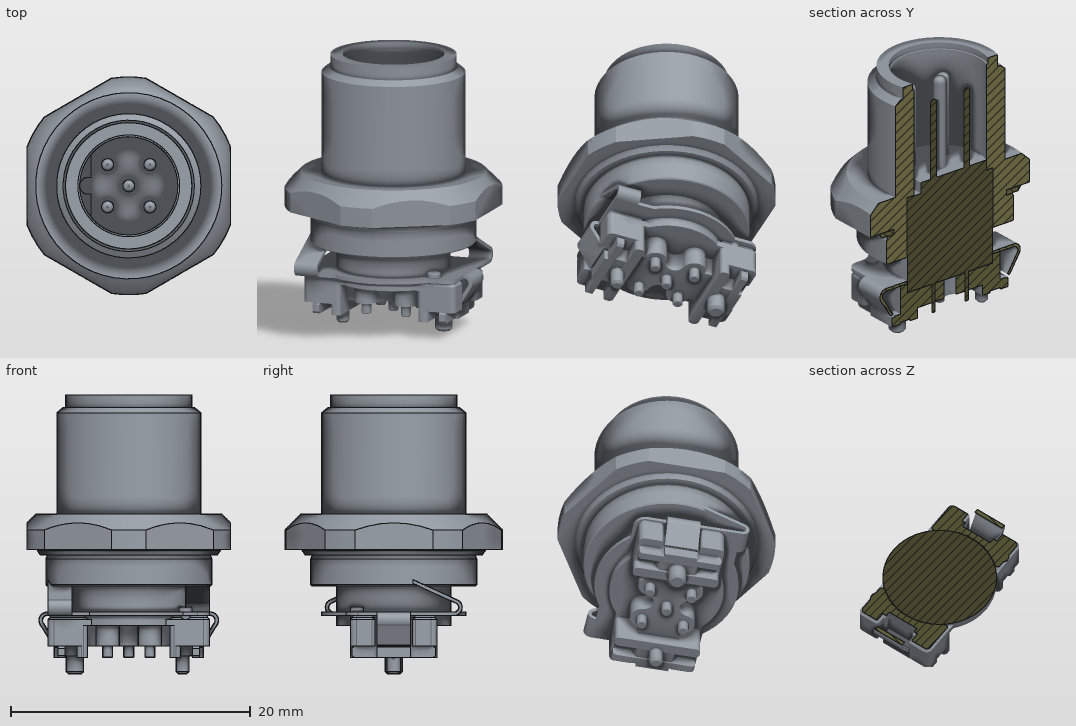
import cadquery as cq
import math


HOUSING_TOP = 12.93
COLLAR_R = 5.27
COLLAR_H = 1.07
SLEEVE_R = 6.02
SLEEVE_BEVEL_TOP_R = 5.48
SLEEVE_BEVEL_H = 0.44
BORE_R = 4.1
LIP_R = 4.25
LIP_DEPTH = 0.55
HEX_ACROSS_FLATS = 17.0
HEX_FLAT_ANGLE = 30
HEX_TURN = 0.1
HEX_CORNER_R = 9.1
HEX_TOP_R = 7.77
HEX_H = 2.96
HEX_BEVEL_H = 1.32
SHOULDER_R = 6.94
SHOULDER_TOP_R = 6.8
SHOULDER_BEVEL_H = 0.36
SHOULDER_BOTTOM = -3.03
SHOULDER_EDGE = 0.1
NECK_R = 6.2

SEAL_H = 0.43
SEAL_R = 7.65
SEAL_BOTTOM_R = 7.4
SEAL_RIM_H = 0.08

INSULATOR_R = 4.77
INSULATOR_BOTTOM = -6.34
FLOOR_Z = 3.5
SEAT_Z = 2.5
KEY_CHORD_X = -3.15
KEY_HALF_WIDTH = 0.7
PIN_OFFSET = 1.765
PIN_R = 0.5
PIN_DOME_R = 0.42
PIN_RECESS = 1.97
CENTER_PIN_RECESS = 1.1
PIN_TOP = HOUSING_TOP - PIN_RECESS
CENTER_PIN_TOP = HOUSING_TOP - CENTER_PIN_RECESS
TAIL_R = 0.42
TAIL_BOTTOM = -9.02
TAIL_CHAMFER = 0.07

PLATE_TOP = -5.2
PLATE_T = 0.3
PLATE_BOTTOM = PLATE_TOP - PLATE_T
PLATE_R = 6.02
WING_X = 6.75
WING_INNER_X = 4.1
WING_Y = 3.98
WING_CORNER_R = 1.0
ARM_WIDTH = 2.02
ARM_ROOT_Y = -5.04
ARM_BEND_R = 0.68
ARM_SLOPE = 24.5
ARM_LENGTH = 5.5
TAB_HALF_WIDTH = 1.4
TAB_BEND_R = 0.7
TAB_BEND_X = -6.8
TAB_SLOPE = 58.0
TAB_BOTTOM = -7.97

BLOCK_HALF_Y = 3.62
BLOCK_INNER_X = 3.44
BLOCK_BOTTOM = -8.05
BLOCK_CORNER_R = 0.5
BLOCK_INNER_CORNER_R = 0.34
PAD_H = 0.16
BLOCK_TOP = PLATE_BOTTOM - PAD_H
BLOCK_TOP_BEVEL = 0.17
NOTCH_HALF_WIDTH = 1.58
NOTCH_CORNER_R = 0.24
NOTCH_STEP_X = 5.92
NOTCH_FLOOR_X = 5.32
NOTCH_BOTTOM = -8.13
FOOT_BOTTOM = TAIL_BOTTOM
OUTER_RAIL_X = (NOTCH_FLOOR_X, NOTCH_STEP_X)
OUTER_RAIL_HALF_Y = 3.5
RAIL_BEVEL = 0.2
LUG_X = 6.22
INNER_RAIL_X = (BLOCK_INNER_X, 4.3)
PEG_SEAT_BOTTOM = -8.86
PEG_SEAT_HALF_Y = 2.0
PEG_SEAT_SLOPE = 58.0
PEG_X = 4.49
PEG_BOTTOM = -10.37
PEG_BEVEL = 0.2
LEFT_PEG_R = 0.73
RIGHT_PEG_R = 0.545
STUD_X = 4.74
STUD_Y = 3.08
STUD_R = 0.54
STUD_TOP = -4.79
STUD_EDGE_R = 0.1
LOBE_R = 0.96
VALLEY_R = 0.79
VALLEY_Y = 1.9


def cylinder(x, y, radius, bottom, top):
    return cq.Workplane("XY", origin=(x, y, bottom)).circle(radius).extrude(top - bottom)


def box(x_range, y_range, z_range):
    (x0, x1), (y0, y1), (z0, z1) = x_range, y_range, z_range
    return cq.Workplane("XY").box(x1 - x0, y1 - y0, z1 - z0, centered=False).translate((x0, y0, z0))


def turned(profile):
    """Solid of revolution about Z from (radius, z) points."""
    return cq.Workplane("XZ").polyline(profile).close().revolve(360, (0, 0, 0), (0, 1, 0))


def half_turn(solid):
    return solid.rotate((0, 0, 0), (0, 0, 1), 180)


def make_flange():
    hexagon = (
        cq.Workplane("XY")
        .polygon(6, HEX_ACROSS_FLATS / math.cos(math.radians(HEX_FLAT_ANGLE)))
        .extrude(HEX_H)
        .rotate((0, 0, 0), (0, 0, 1), HEX_FLAT_ANGLE + HEX_TURN)
    )
    envelope = turned([
        (0, 0),
        (HEX_CORNER_R, 0),
        (HEX_CORNER_R, HEX_H - HEX_BEVEL_H),
        (HEX_TOP_R, HEX_H),
        (0, HEX_H),
    ])
    return hexagon.intersect(envelope)


def make_housing():
    ledge_z = HOUSING_TOP - COLLAR_H
    body = turned([
        (0, SHOULDER_BOTTOM),
        (SHOULDER_R - SHOULDER_EDGE, SHOULDER_BOTTOM),
        (SHOULDER_R, SHOULDER_BOTTOM + SHOULDER_EDGE),
        (SHOULDER_R, -SEAL_H - SHOULDER_BEVEL_H),
        (SHOULDER_TOP_R, -SEAL_H),
        (NECK_R, -SEAL_H),
        (NECK_R, 0),
        (SLEEVE_R, 0),
        (SLEEVE_R, ledge_z - SLEEVE_BEVEL_H),
        (SLEEVE_BEVEL_TOP_R, ledge_z),
        (COLLAR_R, ledge_z),
        (COLLAR_R, HOUSING_TOP),
        (0, HOUSING_TOP),
    ])
    bore = turned([
        (0, SHOULDER_BOTTOM),
        (INSULATOR_R, SHOULDER_BOTTOM),
        (INSULATOR_R, SEAT_Z),
        (BORE_R, SEAT_Z),
        (BORE_R, HOUSING_TOP - LIP_DEPTH),
        (LIP_R, HOUSING_TOP - LIP_DEPTH),
        (LIP_R, HOUSING_TOP),
        (0, HOUSING_TOP),
    ])
    return body.union(make_flange()).cut(bore)


def make_seal():
    return turned([
        (NECK_R, -SEAL_H),
        (SEAL_BOTTOM_R, -SEAL_H),
        (SEAL_R, -SEAL_RIM_H),
        (SEAL_R, 0),
        (NECK_R, 0),
    ])


def make_pin(x, y, top):
    contact = cylinder(x, y, PIN_R, SEAT_Z, top).faces(">Z").edges().fillet(PIN_DOME_R)
    tail = cylinder(x, y, TAIL_R, TAIL_BOTTOM, SEAT_Z).faces("<Z").chamfer(TAIL_CHAMFER)
    return contact.union(tail)


def make_insulator():
    """Insulator with its pins; the floor has two side recesses with a key tongue between them."""
    body = cylinder(0, 0, INSULATOR_R, INSULATOR_BOTTOM, SEAT_Z)
    floor = cylinder(0, 0, BORE_R, SEAT_Z, FLOOR_Z)
    raised = box((KEY_CHORD_X, BORE_R), (-BORE_R, BORE_R), (SEAT_Z, FLOOR_Z))
    tongue_x = KEY_HALF_WIDTH - BORE_R
    tongue_end = cylinder(tongue_x, 0, KEY_HALF_WIDTH, SEAT_Z, FLOOR_Z)
    tongue = box((tongue_x, KEY_CHORD_X), (-KEY_HALF_WIDTH, KEY_HALF_WIDTH), (SEAT_Z, FLOOR_Z))
    tongue = tongue.union(tongue_end)
    body = body.union(floor.intersect(raised.union(tongue)))
    for x in (-PIN_OFFSET, PIN_OFFSET):
        for y in (-PIN_OFFSET, PIN_OFFSET):
            body = body.union(make_pin(x, y, PIN_TOP))
    return body.union(make_pin(0, 0, CENTER_PIN_TOP))


def bent_strip(plane, bend_at, radius, slope, length):
    """Side profile of a strip that leaves the plate, turns round a bend and runs back at `slope`.

    The strip starts at `bend_at`, heads toward negative first coordinate and curls to positive second.
    """
    u, v = bend_at
    center_v = v + radius
    inner = radius - PLATE_T
    a = math.radians(slope)
    normal = (-math.sin(a), math.cos(a))
    along = (math.cos(a) * length, math.sin(a) * length)

    def on_bend(r, direction):
        return (u + r * direction[0], center_v + r * direction[1])

    outer_end = on_bend(radius, normal)
    inner_end = on_bend(inner, normal)
    return (
        cq.Workplane(plane)
        .moveTo(u, v)
        .threePointArc(on_bend(radius, (-1, 0)), outer_end)
        .lineTo(outer_end[0] + along[0], outer_end[1] + along[1])
        .lineTo(inner_end[0] + along[0], inner_end[1] + along[1])
        .lineTo(*inner_end)
        .threePointArc(on_bend(inner, (-1, 0)), (u, v + PLATE_T))
        .close()
    )


def make_arm(housing):
    """Contact arm on the -X side, rising toward +Y until it meets the housing shoulder."""
    arm = (
        bent_strip("YZ", (ARM_ROOT_Y, PLATE_BOTTOM), ARM_BEND_R, ARM_SLOPE, ARM_LENGTH)
        .extrude(ARM_WIDTH)
        .translate((-WING_X, 0, 0))
    )
    pieces = arm.cut(housing).solids().vals()
    return cq.Workplane(min(pieces, key=lambda piece: piece.BoundingBox().ymin))


def make_tab():
    """Latching tab on the -X side, bent down over the carrier."""
    inner = TAB_BEND_R - PLATE_T
    bend_center_z = PLATE_TOP - TAB_BEND_R
    a = math.radians(TAB_SLOPE)
    length = (bend_center_z - inner * math.cos(a) - TAB_BOTTOM) / math.sin(a) - PLATE_T / math.tan(a)
    upward = bent_strip("XZ", (TAB_BEND_X, 0), TAB_BEND_R, TAB_SLOPE, length)
    return (
        upward.extrude(TAB_HALF_WIDTH, both=True)
        .mirror("XY")
        .translate((0, 0, PLATE_TOP))
    )


def make_shield_plate(housing):
    """Round plate with a wing, a tab and a contact arm on each side, alike under a half turn."""
    plate = cylinder(0, 0, PLATE_R, PLATE_BOTTOM, PLATE_TOP)
    wing = (
        box((-WING_X, -WING_INNER_X), (ARM_ROOT_Y, WING_Y), (PLATE_BOTTOM, PLATE_TOP))
        .edges("|Z and <X and >Y")
        .fillet(WING_CORNER_R)
    )
    step = box((-WING_INNER_X, 0), (ARM_ROOT_Y, 0), (PLATE_BOTTOM, PLATE_TOP))
    tab_root = box((TAB_BEND_X, -WING_INNER_X), (-TAB_HALF_WIDTH, TAB_HALF_WIDTH), (PLATE_BOTTOM, PLATE_TOP))
    side = wing.union(step).union(tab_root).union(make_tab()).union(make_arm(housing))
    stud_hole = cylinder(-STUD_X, STUD_Y, STUD_R, PLATE_BOTTOM, PLATE_TOP)
    side = side.cut(stud_hole)
    plate = plate.cut(stud_hole).cut(half_turn(stud_hole)).union(side).union(half_turn(side))
    return plate.cut(cylinder(0, 0, INSULATOR_R, PLATE_BOTTOM, PLATE_TOP))


def make_block():
    """End block on the -X side, notched for the latching tab of the shield plate."""
    block = box(
        (-WING_X, -BLOCK_INNER_X), (-BLOCK_HALF_Y, BLOCK_HALF_Y), (BLOCK_BOTTOM, BLOCK_TOP)
    )
    notch = box(
        (-WING_X, -NOTCH_STEP_X), (-NOTCH_HALF_WIDTH, NOTCH_HALF_WIDTH), (BLOCK_BOTTOM, BLOCK_TOP)
    )
    pocket = box(
        (-NOTCH_STEP_X, -NOTCH_FLOOR_X), (-TAB_HALF_WIDTH, TAB_HALF_WIDTH), (BLOCK_BOTTOM, PLATE_BOTTOM)
    )
    block = block.edges("|Z and >X").fillet(BLOCK_INNER_CORNER_R)
    block = block.edges("|Z and <X").fillet(BLOCK_CORNER_R)
    block = block.cut(notch).edges("|Z and <X").fillet(NOTCH_CORNER_R)
    block = block.faces(">Z").chamfer(BLOCK_TOP_BEVEL)
    pad = block.faces(">Z").wires().toPending().extrude(PAD_H)
    bridge = box(
        (-INNER_RAIL_X[1], 0), (-BLOCK_HALF_Y, BLOCK_HALF_Y), (INSULATOR_BOTTOM, BLOCK_TOP - BLOCK_TOP_BEVEL)
    )
    return block.union(pad).union(bridge).cut(pocket)


def make_feet():
    """Rails, lug and peg seat under the block on the -X side."""
    outer = box(
        (-OUTER_RAIL_X[1], -OUTER_RAIL_X[0]),
        (-OUTER_RAIL_HALF_Y, OUTER_RAIL_HALF_Y),
        (FOOT_BOTTOM, BLOCK_BOTTOM),
    )
    outer = outer.edges("|X").chamfer(RAIL_BEVEL)
    lug = box((-LUG_X, -OUTER_RAIL_X[0]), (-TAB_HALF_WIDTH, TAB_HALF_WIDTH), (FOOT_BOTTOM, NOTCH_BOTTOM))
    inner = box(
        (-INNER_RAIL_X[1], -INNER_RAIL_X[0]),
        (-BLOCK_HALF_Y, BLOCK_HALF_Y),
        (FOOT_BOTTOM, BLOCK_BOTTOM),
    )
    inner = inner.edges("|Z").fillet(BLOCK_INNER_CORNER_R)
    slant = (BLOCK_BOTTOM - PEG_SEAT_BOTTOM) / math.tan(math.radians(PEG_SEAT_SLOPE))
    seat = (
        cq.Workplane("YZ", origin=(-OUTER_RAIL_X[0], 0, 0))
        .moveTo(-PEG_SEAT_HALF_Y, BLOCK_BOTTOM)
        .lineTo(PEG_SEAT_HALF_Y, BLOCK_BOTTOM)
        .lineTo(PEG_SEAT_HALF_Y - slant, PEG_SEAT_BOTTOM)
        .lineTo(slant - PEG_SEAT_HALF_Y, PEG_SEAT_BOTTOM)
        .close()
        .extrude(OUTER_RAIL_X[0] - INNER_RAIL_X[1])
    )
    return outer.union(lug).union(inner).union(seat)


def make_web():
    """Web between the end blocks, with a lobe around each outer pin and a valley between lobes."""
    z_range = (BLOCK_BOTTOM, INSULATOR_BOTTOM)
    web = box((-BLOCK_INNER_X, BLOCK_INNER_X), (-PIN_OFFSET, PIN_OFFSET), z_range)
    for side in (-1, 1):
        for x in (-PIN_OFFSET, PIN_OFFSET):
            web = web.union(cylinder(x, side * PIN_OFFSET, LOBE_R, *z_range))
        web = web.cut(cylinder(0, side * VALLEY_Y, VALLEY_R, *z_range))
    return web


def make_carrier(insulator):
    """Carrier: end blocks joined by the web, with studs for the plate and a locating peg at each end."""
    side = make_block().union(make_feet())
    stud = cylinder(-STUD_X, STUD_Y, STUD_R, BLOCK_BOTTOM, STUD_TOP).faces(">Z").edges().fillet(STUD_EDGE_R)
    side = side.union(stud)
    carrier = make_web().union(side).union(half_turn(side))
    for x, radius in ((-PEG_X, LEFT_PEG_R), (PEG_X, RIGHT_PEG_R)):
        peg = cylinder(x, 0, radius, PEG_BOTTOM, BLOCK_BOTTOM).faces("<Z").chamfer(PEG_BEVEL)
        carrier = carrier.union(peg)
    return carrier.cut(insulator)


housing = make_housing()
seal = make_seal()
insulator = make_insulator()
shield_plate = make_shield_plate(housing)
carrier = make_carrier(insulator)

result = cq.Compound.makeCompound([
    housing.val(),
    seal.val(),
    insulator.val(),
    shield_plate.val(),
    carrier.val(),
])